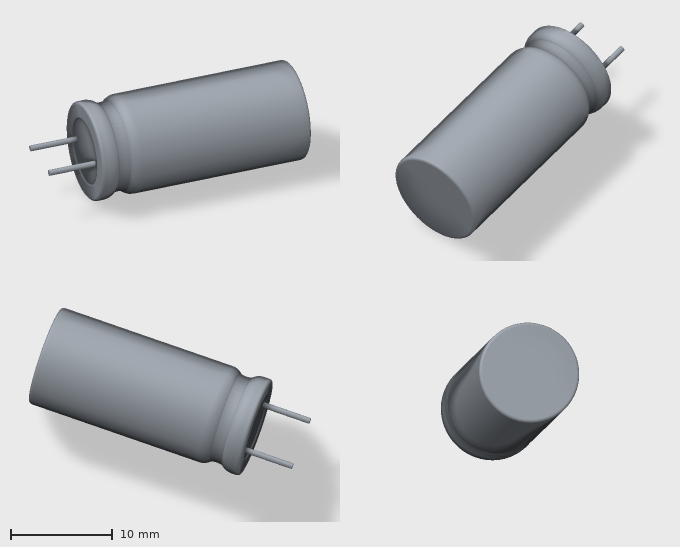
import cadquery as cq
import math


total_length = 26.75
can_diameter = 10.0
can_length = 22.02
can_radius = can_diameter / 2
rim_fillet = 0.3

groove_center = 2.55
groove_half_width = 1.65
waist_half_width = 0.6
shoulder_depth = 0.45
groove_depth = 0.54

seal_radius = 3.32
recess_depth = 0.15
recess_lip_radius = recess_depth

lead_diameter = 0.6
lead_pitch = 5.0
lead_length = total_length - can_length


def shoulder_midpoint():
    """Axial offset and depth of the middle of a shoulder arc, which leaves the can wall tangentially."""
    width = groove_half_width - waist_half_width
    arc_radius = (width**2 + shoulder_depth**2) / (2 * shoulder_depth)
    half_angle = math.asin(width / arc_radius) / 2
    from_center = groove_half_width - arc_radius * math.sin(half_angle)
    depth = arc_radius * (1 - math.cos(half_angle))
    return from_center, depth


def quarter_arc_inset(radius):
    """Distance from either tangent line to the middle of a quarter arc that rounds a square corner."""
    return radius * (1 - math.cos(math.pi / 4))


def make_can():
    """Revolved can: rounded rims, crimp groove and a recessed seal with a rounded lip."""
    lip_outer_radius = seal_radius + recess_lip_radius
    shoulder_radius = can_radius - shoulder_depth
    shoulder_offset, shoulder_mid_depth = shoulder_midpoint()
    shoulder_mid_radius = can_radius - shoulder_mid_depth
    flat_radius = can_radius - rim_fillet
    rim_inset = quarter_arc_inset(rim_fillet)
    lip_inset = quarter_arc_inset(recess_lip_radius)

    profile = (
        cq.Workplane("XY")
        .moveTo(0, recess_depth)
        .lineTo(seal_radius, recess_depth)
        .threePointArc((seal_radius + lip_inset, lip_inset), (lip_outer_radius, 0))
        .lineTo(flat_radius, 0)
        .threePointArc((can_radius - rim_inset, rim_inset), (can_radius, rim_fillet))
        .lineTo(can_radius, groove_center - groove_half_width)
        .threePointArc(
            (shoulder_mid_radius, groove_center - shoulder_offset),
            (shoulder_radius, groove_center - waist_half_width),
        )
        .threePointArc(
            (can_radius - groove_depth, groove_center),
            (shoulder_radius, groove_center + waist_half_width),
        )
        .threePointArc(
            (shoulder_mid_radius, groove_center + shoulder_offset),
            (can_radius, groove_center + groove_half_width),
        )
        .lineTo(can_radius, can_length - rim_fillet)
        .threePointArc((can_radius - rim_inset, can_length - rim_inset), (flat_radius, can_length))
        .lineTo(0, can_length)
        .close()
    )
    return profile.revolve(360, (0, 0, 0), (0, 1, 0))


def make_leads():
    """Two round leads standing on the recessed seal."""
    return (
        cq.Workplane("XZ", origin=(0, recess_depth, 0))
        .pushPoints([(-lead_pitch / 2, 0), (lead_pitch / 2, 0)])
        .circle(lead_diameter / 2)
        .extrude(recess_depth + lead_length)
    )


result = make_can().union(make_leads())